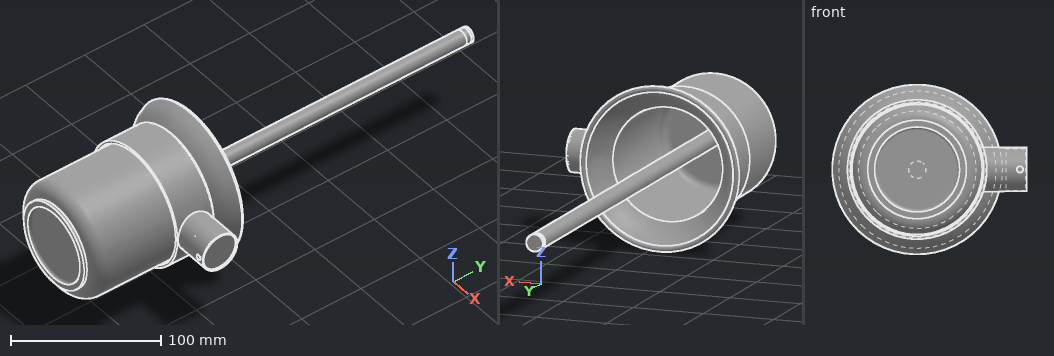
import cadquery as cq
import math

TOTAL_LENGTH = 349.7

FOOT_RADIUS = 33.0
FOOT_HEIGHT = 2.5
RECESS_RADIUS = 28.5
RECESS_DEPTH = FOOT_HEIGHT
RECESS_FILLET = 2.0
BASE_ROUND = 10.0
CUP_RADIUS = 43.5
CUP_WALL = 4.2
NECK_RADIUS = 45.5
NECK_HEIGHT = 1.0
BOWL_RADIUS = 56.5
BOWL_TOP = 114.7
BOWL_BULGE = 1.7
CAVITY_RADIUS = CUP_RADIUS - CUP_WALL
CAVITY_ROUND = BASE_ROUND - CUP_WALL
FLOOR_Y = FOOT_HEIGHT + CUP_WALL

RING_RADIUS = 46.5
RING_BORE_RADIUS = 44.5
RING_BOTTOM = 68.2
RING_TOP = 98.5
POST_RADIUS = 14.7
POST_END = 73.0
POST_WALL = 0.87
POST_Y = (RING_BOTTOM + RING_TOP) / 2

INSERT_START = 59.0
INSERT_RADIUS = POST_RADIUS - POST_WALL
INSERT_SETBACK = 1.0
INSERT_END = POST_END - INSERT_SETBACK
SCREW_RADIUS = 2.0
SCREW_X = 68.5
SCREW_LENGTH = 7.0

ROD_RADIUS = 6.0
ROD_WALL = 0.5
CAP_THICKNESS = 1.7
PLUG_LENGTH = 4.0
PLUG_RADIUS = ROD_RADIUS - ROD_WALL
ROD_TOP = TOTAL_LENGTH - CAP_THICKNESS


def cylinder_y(radius, y_start, y_end, x=0.0):
    """Cylinder parallel to Y between two heights."""
    return cq.Workplane(cq.Solid.makeCylinder(
        radius, y_end - y_start, cq.Vector(x, y_start, 0), cq.Vector(0, 1, 0)))


def cylinder_x(radius, x_start, x_end):
    """Cylinder parallel to X on the post's axis."""
    return cq.Workplane(cq.Solid.makeCylinder(
        radius, x_end - x_start, cq.Vector(x_start, POST_Y, 0), cq.Vector(1, 0, 0)))


def round_corner_middle(radius, wall_radius, floor_y):
    """Middle of the quarter arc that joins a floor to an upright wall."""
    inset = radius * (1 - math.sin(math.pi / 4))
    return (wall_radius - inset, floor_y + inset)


def bulged_middle(bottom, top, bulge):
    """Middle of an arc that stands out and down from the rising chord between two points."""
    width = top[0] - bottom[0]
    height = top[1] - bottom[1]
    chord = math.hypot(width, height)
    return (
        (bottom[0] + top[0]) / 2 + bulge * height / chord,
        (bottom[1] + top[1]) / 2 - bulge * width / chord,
    )


def make_cup():
    """Turned open cup with a filleted recess under its foot."""
    neck_top = RING_TOP + NECK_HEIGHT
    outer_neck = (NECK_RADIUS, neck_top)
    outer_rim = (BOWL_RADIUS, BOWL_TOP)
    rim_crest = (BOWL_RADIUS - CUP_WALL / 2, BOWL_TOP + CUP_WALL / 2)
    inner_rim = (BOWL_RADIUS - CUP_WALL, BOWL_TOP)
    inner_neck = (CAVITY_RADIUS, neck_top)
    cup = (
        cq.Workplane("XY")
        .lineTo(FOOT_RADIUS, 0)
        .lineTo(FOOT_RADIUS, FOOT_HEIGHT)
        .lineTo(CUP_RADIUS - BASE_ROUND, FOOT_HEIGHT)
        .threePointArc(
            round_corner_middle(BASE_ROUND, CUP_RADIUS, FOOT_HEIGHT),
            (CUP_RADIUS, FOOT_HEIGHT + BASE_ROUND),
        )
        .lineTo(CUP_RADIUS, RING_TOP)
        .lineTo(NECK_RADIUS, RING_TOP)
        .lineTo(*outer_neck)
        .threePointArc(bulged_middle(outer_neck, outer_rim, BOWL_BULGE), outer_rim)
        .threePointArc(rim_crest, inner_rim)
        .threePointArc(bulged_middle(inner_neck, inner_rim, BOWL_BULGE), inner_neck)
        .lineTo(CAVITY_RADIUS, FLOOR_Y + CAVITY_ROUND)
        .threePointArc(
            round_corner_middle(CAVITY_ROUND, CAVITY_RADIUS, FLOOR_Y),
            (CAVITY_RADIUS - CAVITY_ROUND, FLOOR_Y),
        )
        .lineTo(0, FLOOR_Y)
        .close()
        .revolve(360, (0, 0, 0), (0, 1, 0))
    )
    recess = cylinder_y(RECESS_RADIUS, 0, RECESS_DEPTH).faces(">Y").edges().fillet(RECESS_FILLET)
    return cup.cut(recess)


def make_set_screw():
    """Plain set screw whose head lies just below the post's surface."""
    head_y = POST_Y - math.sqrt(POST_RADIUS**2 - SCREW_RADIUS**2)
    return cylinder_y(SCREW_RADIUS, head_y, head_y + SCREW_LENGTH, SCREW_X)


def make_screw_hole():
    """Hole for the set screw, open to the -Y side."""
    return make_set_screw().union(
        cylinder_y(SCREW_RADIUS, POST_Y - 2 * POST_RADIUS, POST_Y - INSERT_RADIUS, SCREW_X))


def make_holder():
    """Ring and post in one piece, bored for the cup, the wall insert and the set screw."""
    ring = cylinder_y(RING_RADIUS, RING_BOTTOM, RING_TOP)
    post = cylinder_x(POST_RADIUS, 0, POST_END)
    cup_bore = cylinder_y(RING_BORE_RADIUS, RING_BOTTOM, RING_TOP)
    insert_bore = cylinder_x(INSERT_RADIUS, INSERT_START, POST_END)
    return ring.union(post).cut(cup_bore).cut(insert_bore).cut(make_screw_hole())


def make_wall_insert():
    """Plug in the post's open end, drilled for the set screw."""
    return cylinder_x(INSERT_RADIUS, INSERT_START, INSERT_END).cut(make_screw_hole())


def make_cap():
    """End cap with a plug that reaches into the rod."""
    head = cylinder_y(ROD_RADIUS, ROD_TOP, TOTAL_LENGTH)
    plug = cylinder_y(PLUG_RADIUS, ROD_TOP - PLUG_LENGTH, ROD_TOP)
    return head.union(plug)


def make_rod():
    """Handle rod standing on the cup's floor, bored at its tip for the cap."""
    rod = cylinder_y(ROD_RADIUS, FLOOR_Y, ROD_TOP)
    plug_bore = cylinder_y(PLUG_RADIUS, ROD_TOP - PLUG_LENGTH, ROD_TOP)
    return rod.cut(plug_bore)


cup = make_cup()
holder = make_holder()
wall_insert = make_wall_insert()
set_screw = make_set_screw()
rod = make_rod()
cap = make_cap()

result = cq.Compound.makeCompound([
    cup.val(),
    holder.val(),
    wall_insert.val(),
    set_screw.val(),
    rod.val(),
    cap.val(),
])